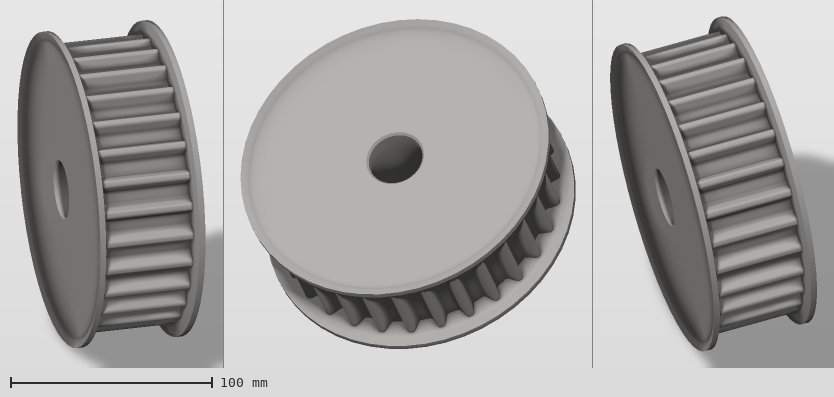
import cadquery as cq
import math

OUTER_DIAMETER = 157.6
WIDTH = 53.9

SEAT_DIAMETER = 125.8
FLAT_FACE_DIAMETER = 148.8
FLANGE_THICKNESS = 3.0
FLARE_DEPTH = 1.3

TOOTH_COUNT = 29
TIP_DIAMETER = 144.4
GROOVE_DEPTH = 6.8
GROOVE_FLOOR_WIDTH = 6.3
FLANK_ANGLE = 25.0
FLOOR_FILLET = 1.7
TIP_FILLET = 1.7
FIRST_GROOVE_ANGLE = 180.15
BORE_DIAMETER = 27.5
BORE_CHAMFER = 1.1

CUT_CLEARANCE = 1.5
EDGE_TOLERANCE = 0.2

HUB_WIDTH = WIDTH - 2 * FLARE_DEPTH
TOOTHED_WIDTH = HUB_WIDTH - 2 * FLANGE_THICKNESS
FLOOR_DISTANCE = TIP_DIAMETER / 2 - GROOVE_DEPTH


def cylinder(diameter, width):
    """A cylinder along Y, centred on the origin."""
    return cq.Workplane("XZ").circle(diameter / 2).extrude(width / 2, both=True)


def groove_cutter():
    """One flat-floored trapezoidal groove on the +X side, reaching out past the tooth tips."""
    height = GROOVE_DEPTH + CUT_CLEARANCE
    half_floor = GROOVE_FLOOR_WIDTH / 2
    half_mouth = half_floor + height * math.tan(math.radians(FLANK_ANGLE))
    outer = FLOOR_DISTANCE + height
    return (
        cq.Workplane("XZ")
        .polyline([
            (FLOOR_DISTANCE, -half_floor),
            (outer, -half_mouth),
            (outer, half_mouth),
            (FLOOR_DISTANCE, half_floor),
        ])
        .close()
        .extrude(TOOTHED_WIDTH / 2, both=True)
        .edges("|Y and <X")
        .fillet(FLOOR_FILLET)
    )


def make_toothed_rim():
    """Cylinder with evenly spaced grooves and rounded tooth tips."""
    rim = cylinder(TIP_DIAMETER, TOOTHED_WIDTH)
    cutter = groove_cutter()
    for i in range(TOOTH_COUNT):
        angle = FIRST_GROOVE_ANGLE + i * 360 / TOOTH_COUNT
        rim = rim.cut(cutter.rotate((0, 0, 0), (0, -1, 0), angle))
    tip_edges = [
        edge for edge in rim.edges("|Y").vals()
        if math.hypot(edge.Center().x, edge.Center().z) > TIP_DIAMETER / 2 - EDGE_TOLERANCE
    ]
    return rim.newObject(tip_edges).fillet(TIP_FILLET)


def make_pulley():
    """Toothed rim with a round flange seat on each side and a chamfered through bore."""
    body = make_toothed_rim().union(cylinder(SEAT_DIAMETER, HUB_WIDTH))
    body = body.cut(cylinder(BORE_DIAMETER, HUB_WIDTH))
    bore_box = cq.selectors.BoxSelector(
        (-BORE_DIAMETER, -WIDTH, -BORE_DIAMETER),
        (BORE_DIAMETER, WIDTH, BORE_DIAMETER),
        boundingbox=True,
    )
    return body.edges(bore_box).edges("%CIRCLE").chamfer(BORE_CHAMFER)


def make_flange(side):
    """Sheet ring whose rim flares outward; side is -1 for the -Y flange and 1 for the +Y one."""
    seat = SEAT_DIAMETER / 2
    flat = FLAT_FACE_DIAMETER / 2
    rim = OUTER_DIAMETER / 2
    outer_y = HUB_WIDTH / 2
    inner_y = TOOTHED_WIDTH / 2
    profile = [
        (seat, inner_y),
        (flat, inner_y),
        (rim, inner_y + FLARE_DEPTH),
        (rim, outer_y + FLARE_DEPTH),
        (flat, outer_y),
        (seat, outer_y),
    ]
    return (
        cq.Workplane("XY")
        .polyline([(radius, side * y) for radius, y in profile])
        .close()
        .revolve(360, (0, 0, 0), (0, 1, 0))
    )


pulley = make_pulley()
flanges = [make_flange(side) for side in (-1, 1)]

result = cq.Compound.makeCompound([pulley.val(), *[flange.val() for flange in flanges]])